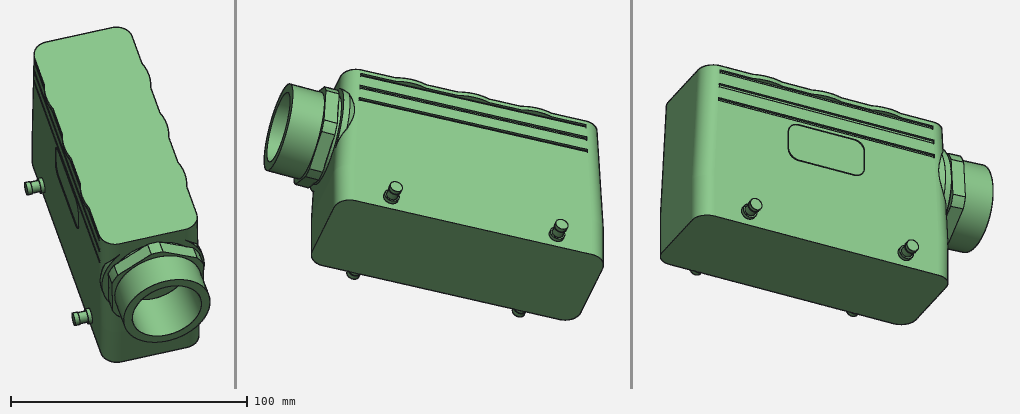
import cadquery as cq
import math

body_length = 120.0
body_width = 43.0
body_height = 76.0
skirt_height = 20.1
end_lean = 2.8
corner_radius = 7.0

groove_spans = [(3.5, 2.1), (10.7, 9.0), (17.6, 16.2)]
groove_depth = 1.0

swell_pitch = 28.0
swell_length = 13.8
swell_rise = 1.1
rim_height = 2.1

label_length = 35.9
label_height = 17.7
label_radius = 4.8
label_center_z = 48.0
label_depth = 0.4

pin_spacing = 73.9
pin_height = 6.2
pin_span = 57.9
pin_collar_diameter = 6.5
pin_collar_length = 1.7
pin_shank_diameter = 4.9
pin_head_diameter = 5.5
pin_head_length = 2.1

overall_length = 140.8
gland_height = 52.0
boss_diameter = 45.0
boss_length = 2.8
boss_taper_length = 4.2
boss_taper = 2.1
neck_diameter = 39.0
neck_length = 1.5
nut_width = 40.1
nut_corner_diameter = 43.6
nut_length = 5.9
sleeve_diameter = 38.0
bore_diameter = 30.4

half_width = body_width / 2
lean_height = body_height - skirt_height
lean_angle = math.atan2(end_lean, lean_height)


def wall_x(z):
    """Distance of the leaning end wall from the middle of the body at height z."""
    return body_length / 2 - end_lean * (z - skirt_height) / lean_height


def make_body():
    """Side profile swept across the width, with its four upright corners rounded."""
    half_length = body_length / 2
    half_top = half_length - end_lean
    profile = [
        (-half_length, 0),
        (half_length, 0),
        (half_length, skirt_height),
        (half_top, body_height),
        (-half_top, body_height),
        (-half_length, skirt_height),
    ]
    block = cq.Workplane("XZ").polyline(profile).close().extrude(half_width, both=True)
    return block.edges("not (|X or |Y)").fillet(corner_radius)


def make_swell(x, side):
    """Arc-shaped swelling of the rim; side is -1 for front, +1 for back."""
    face_y = side * half_width
    inner_y = face_y - side * corner_radius
    half_length = swell_length / 2
    return (
        cq.Workplane("XY", origin=(x, 0, body_height - rim_height))
        .moveTo(-half_length, inner_y)
        .lineTo(-half_length, face_y)
        .threePointArc((0, face_y + side * swell_rise), (half_length, face_y))
        .lineTo(half_length, inner_y)
        .close()
        .extrude(rim_height)
    )


def make_groove(lower, upper, side):
    """Rectangular groove that stops where the corner rounding starts."""
    height = lower - upper
    center_z = body_height - (lower + upper) / 2
    length = 2 * (wall_x(center_z) - corner_radius)
    return cq.Workplane("XY").box(length, 2 * groove_depth, height).translate((0, side * half_width, center_z))


def make_label_recess():
    return (
        cq.Workplane("XZ", origin=(0, label_depth - half_width, label_center_z))
        .rect(label_length, label_height)
        .extrude(2 * label_depth)
        .edges("|Y")
        .fillet(label_radius)
    )


def make_pin_bar(x):
    """Pair of opposite pins, joined through the body."""
    def rod(diameter, length):
        return cq.Workplane("XZ", origin=(x, 0, pin_height)).circle(diameter / 2).extrude(length / 2, both=True)

    shank = rod(pin_shank_diameter, pin_span)
    collars = rod(pin_collar_diameter, body_width + 2 * pin_collar_length)
    head_gap = rod(pin_head_diameter, pin_span - 2 * pin_head_length)
    heads = rod(pin_head_diameter, pin_span).cut(head_gap)
    return shank.union(collars).union(heads)


def make_gland():
    """Boss blended into the wall, neck, hex nut and bored sleeve."""
    lean_sin = math.sin(lean_angle)
    lean_cos = math.cos(lean_angle)
    root_x = wall_x(gland_height)
    reach = overall_length - body_length / 2 - root_x
    gland_length = (reach - sleeve_diameter / 2 * lean_sin) / lean_cos

    wall_plane = cq.Plane(
        origin=(root_x, 0, gland_height),
        xDir=(0, 1, 0),
        normal=(lean_cos, 0, lean_sin),
    )
    base = cq.Workplane(wall_plane)

    boss_radius = boss_diameter / 2
    boss = base.circle(boss_radius).extrude(-boss_length)
    taper_angle = math.degrees(math.atan2(boss_taper, boss_taper_length))
    taper = (
        base.workplane(offset=-boss_length)
        .circle(boss_radius)
        .extrude(-boss_taper_length, taper=taper_angle)
    )

    neck = base.circle(neck_diameter / 2).extrude(neck_length)
    nut_base = base.workplane(offset=neck_length)
    nut_limit = nut_base.circle(nut_corner_diameter / 2).extrude(nut_length)
    nut = nut_base.polygon(6, nut_width, circumscribed=True).extrude(nut_length).intersect(nut_limit)
    sleeve = base.circle(sleeve_diameter / 2).extrude(gland_length)
    bore = base.circle(bore_diameter / 2).extrude(gland_length)

    fitting = neck.union(nut).union(sleeve).cut(bore)
    return boss.union(taper).union(fitting)


result = make_body()
for side in (-1, 1):
    for index in (-1, 0, 1):
        result = result.union(make_swell(index * swell_pitch, side))
    for lower, upper in groove_spans:
        result = result.cut(make_groove(lower, upper, side))
result = result.cut(make_label_recess())
for x in (-pin_spacing / 2, pin_spacing / 2):
    result = result.union(make_pin_bar(x))
result = result.union(make_gland())